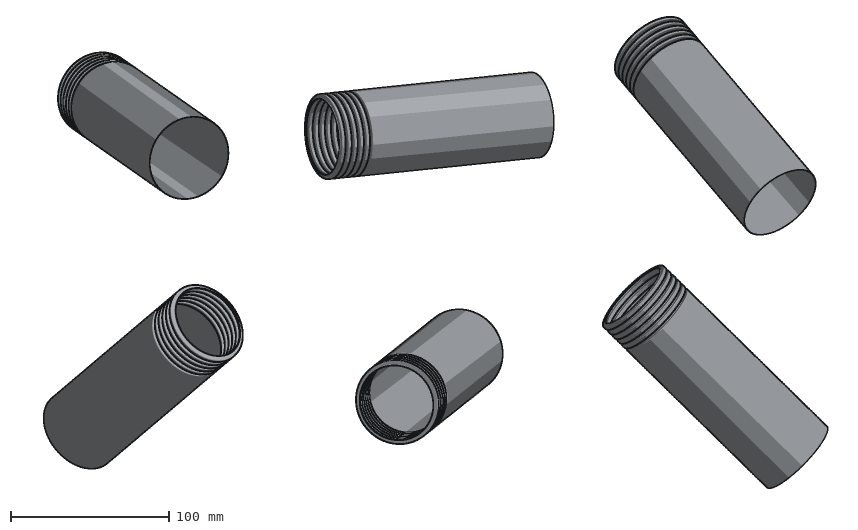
import cadquery as cq

length = 150.0
outer_diameter = 54.5
wall = 0.45

fold_count = 5
fold_pitch = 4.3
valley_bore_diameter = 48.0
convex_bend_radius = 0.45
concave_bend_radius = 0.2

outer_radius = outer_diameter / 2
bore_radius = outer_radius - wall
valley_inner_radius = valley_bore_diameter / 2
valley_outer_radius = valley_inner_radius + wall
crest_width = fold_pitch / 2 + wall
end_lip_length = (fold_pitch - crest_width) / 2
tube_start = end_lip_length + fold_count * fold_pitch

radius_tolerance = 0.01


def ring(start, end, ring_inner_radius, ring_outer_radius):
    """Annular solid around the X axis from X = start to X = end."""
    return (
        cq.Workplane("YZ", origin=(start, 0, 0))
        .circle(ring_outer_radius)
        .circle(ring_inner_radius)
        .extrude(end - start)
    )


def make_corrugated_tube():
    """Tube with square folds, each made by one inner and one outer groove."""
    tube = ring(0, length, valley_inner_radius, outer_radius)
    tube = tube.cut(ring(0, end_lip_length, valley_outer_radius, outer_radius))
    for fold in range(fold_count):
        crest_start = end_lip_length + fold * fold_pitch
        crest_end = crest_start + crest_width
        next_crest_start = crest_start + fold_pitch
        inner_groove = ring(crest_start + wall, crest_end - wall, valley_inner_radius, bore_radius)
        outer_groove = ring(crest_end, next_crest_start, valley_outer_radius, outer_radius)
        tube = tube.cut(inner_groove).cut(outer_groove)
    return tube.cut(ring(tube_start + wall, length, valley_inner_radius, bore_radius))


def round_folds(tube, edge_radius, bend_radius):
    """Round the fold edges of one circle radius, leaving both tube ends sharp."""
    fold_edges = [
        edge
        for edge in tube.edges("%CIRCLE").vals()
        if abs(edge.radius() - edge_radius) < radius_tolerance
        and end_lip_length / 2 < edge.Center().x < length / 2
    ]
    return tube.newObject(fold_edges).fillet(bend_radius)


result = make_corrugated_tube()
result = round_folds(result, outer_radius, convex_bend_radius)
result = round_folds(result, valley_inner_radius, convex_bend_radius)
result = round_folds(result, bore_radius, concave_bend_radius)
result = round_folds(result, valley_outer_radius, concave_bend_radius)